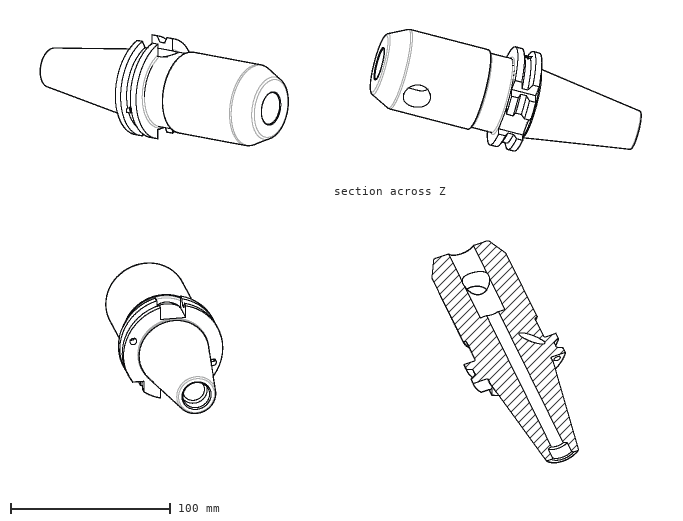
import cadquery as cq
import math

LENGTH = 168.4
TAPER_END_X = 68.9
FLANGE_X = 71.5
FLANGE_END_X = 87.4
BODY_X = 103.0
NOSE_CONE_X = 155.3

TAPER_SMALL_RADIUS = 12.38
TAPER_SLOPE = 7 / 24 / 2
TAPER_LARGE_RADIUS = TAPER_SMALL_RADIUS + TAPER_SLOPE * TAPER_END_X
TAPER_END_ROUND = 1.0
RELIEF_RADIUS = 44.3 / 2
RELIEF_BEVEL_LENGTH = 0.7
RELIEF_ROUND = 0.5

FLANGE_RADIUS = 63.5 / 2
GROOVE_RADIUS = 28.1
GROOVE_TOP_START_X = 75.6
GROOVE_FLOOR_START_X = 77.6
GROOVE_FLOOR_END_X = 81.3
GROOVE_TOP_END_X = 83.0

COLLAR_RADIUS = 48.0 / 2
COLLAR_ROUND = 1.0
BODY_RADIUS = 51.5 / 2
BODY_CHAMFER = 0.3
NOSE_RADIUS = 19.4
NOSE_CONE_ROUND = 2.5
NOSE_END_ROUND = 1.7

REAR_BORE_RADIUS = 17.0 / 2
REAR_BORE_DEPTH = 8.0
REAR_BORE_CONE_LENGTH = 0.8
REAR_MOUTH_CHAMFER = 0.8
CORE_RADIUS = 13.8 / 2
TOOL_BORE_RADIUS = 20.0 / 2
TOOL_BORE_DEPTH = 52.2
TOOL_MOUTH_CHAMFER = 0.5

SCREW_X = 143.6
SCREW_RADIUS = 17.0 / 2

SLOT_WIDTH = 16.0
TOP_SLOT_FLOOR_Z = 22.7
BOTTOM_SLOT_FLOOR_Z = -25.0
NOTCH_Y = 18.7
NOTCH_Z = -18.4

FACE_HOLE_RADIUS = 4.2 / 2
FACE_HOLE_CIRCLE_RADIUS = 27.1
FACE_HOLE_ANGLE = 20.0
FACE_HOLE_DEPTH = 7.4

PASSAGE_TILT = 45.0


def revolved(outline):
    """Solid turned about the X axis from (x, radius) points."""
    return cq.Workplane("XY").polyline(outline).close().revolve(360, (0, 0, 0), (1, 0, 0))


def ring_at(x, radius):
    """Selector for the circular edge of a turned solid at one station and radius."""
    margin = 0.08
    return cq.selectors.BoxSelector(
        (x - margin, -radius - margin, -radius - margin),
        (x + margin, radius + margin, radius + margin),
        boundingbox=True,
    )


def turned_blank():
    outline = [
        (0, 0),
        (0, TAPER_SMALL_RADIUS),
        (TAPER_END_X, TAPER_LARGE_RADIUS),
        (TAPER_END_X + RELIEF_BEVEL_LENGTH, RELIEF_RADIUS),
        (FLANGE_X, RELIEF_RADIUS),
        (FLANGE_X, FLANGE_RADIUS),
        (GROOVE_TOP_START_X, FLANGE_RADIUS),
        (GROOVE_FLOOR_START_X, GROOVE_RADIUS),
        (GROOVE_FLOOR_END_X, GROOVE_RADIUS),
        (GROOVE_TOP_END_X, FLANGE_RADIUS),
        (FLANGE_END_X, FLANGE_RADIUS),
        (FLANGE_END_X, COLLAR_RADIUS),
        (BODY_X, COLLAR_RADIUS),
        (BODY_X, BODY_RADIUS - BODY_CHAMFER),
        (BODY_X + BODY_CHAMFER, BODY_RADIUS),
        (NOSE_CONE_X, BODY_RADIUS),
        (LENGTH, NOSE_RADIUS),
        (LENGTH, 0),
    ]
    blank = revolved(outline)
    blank = blank.edges(ring_at(0, TAPER_SMALL_RADIUS)).fillet(TAPER_END_ROUND)
    blank = blank.edges(ring_at(FLANGE_X, RELIEF_RADIUS)).fillet(RELIEF_ROUND)
    for corner_x in (FLANGE_END_X, BODY_X):
        blank = blank.edges(ring_at(corner_x, COLLAR_RADIUS)).fillet(COLLAR_ROUND)
    blank = blank.edges(ring_at(NOSE_CONE_X, BODY_RADIUS)).fillet(NOSE_CONE_ROUND)
    blank = blank.edges(ring_at(LENGTH, NOSE_RADIUS)).fillet(NOSE_END_ROUND)
    return blank


def bores():
    tool_bore_x = LENGTH - TOOL_BORE_DEPTH
    outline = [
        (0, 0),
        (0, REAR_BORE_RADIUS + REAR_MOUTH_CHAMFER),
        (REAR_MOUTH_CHAMFER, REAR_BORE_RADIUS),
        (REAR_BORE_DEPTH, REAR_BORE_RADIUS),
        (REAR_BORE_DEPTH + REAR_BORE_CONE_LENGTH, CORE_RADIUS),
        (tool_bore_x, CORE_RADIUS),
        (tool_bore_x, TOOL_BORE_RADIUS),
        (LENGTH - TOOL_MOUTH_CHAMFER, TOOL_BORE_RADIUS),
        (LENGTH, TOOL_BORE_RADIUS + TOOL_MOUTH_CHAMFER),
        (LENGTH, 0),
    ]
    return revolved(outline)


def screw_hole():
    return cq.Workplane("XY", origin=(SCREW_X, 0, 0)).circle(SCREW_RADIUS).extrude(-FLANGE_RADIUS)


def drive_slot(floor_z):
    """Slot open at the rear flange face, with a round end just past the flange."""
    half_width = SLOT_WIDTH / 2
    height = math.copysign(FLANGE_RADIUS, floor_z)
    return (
        cq.Workplane("XY", origin=(0, 0, floor_z))
        .moveTo(FLANGE_X, -half_width)
        .lineTo(FLANGE_END_X, -half_width)
        .threePointArc((FLANGE_END_X + half_width, 0), (FLANGE_END_X, half_width))
        .lineTo(FLANGE_X, half_width)
        .close()
        .extrude(height)
    )


def orientation_notch():
    return cq.Workplane("XY").box(
        FLANGE_END_X - FLANGE_X, FLANGE_RADIUS, FLANGE_RADIUS, centered=False
    ).translate((FLANGE_X, NOTCH_Y, NOTCH_Z - FLANGE_RADIUS))


def face_holes():
    return (
        cq.Workplane("YZ", origin=(FLANGE_X, 0, 0))
        .polarArray(FACE_HOLE_CIRCLE_RADIUS, FACE_HOLE_ANGLE, 360, 2)
        .circle(FACE_HOLE_RADIUS)
        .extrude(FACE_HOLE_DEPTH)
    )


def inclined_passage(angle):
    """Drilling that runs inward and toward the nose from one face hole."""
    tilt = math.radians(PASSAGE_TILT)
    start = cq.Vector(FLANGE_X + FACE_HOLE_DEPTH, FACE_HOLE_CIRCLE_RADIUS, 0)
    direction = cq.Vector(math.sin(tilt), -math.cos(tilt), 0)
    length = FACE_HOLE_CIRCLE_RADIUS / math.cos(tilt)
    passage = cq.Solid.makeCylinder(FACE_HOLE_RADIUS, length, start, direction)
    return cq.Workplane(passage).rotate((0, 0, 0), (1, 0, 0), angle)


result = turned_blank().cut(bores()).cut(screw_hole())
for slot_floor in (TOP_SLOT_FLOOR_Z, BOTTOM_SLOT_FLOOR_Z):
    result = result.cut(drive_slot(slot_floor))
result = result.cut(orientation_notch()).cut(face_holes())
for passage_angle in (FACE_HOLE_ANGLE, FACE_HOLE_ANGLE + 180):
    result = result.cut(inclined_passage(passage_angle))